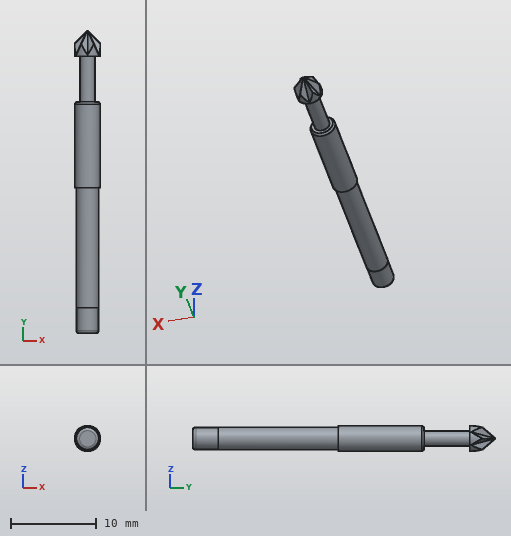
import cadquery as cq
import math

TOTAL_LENGTH = 35.3
HEAD_LENGTH = 3.0
COLLAR_START = 8.3
COLLAR_LENGTH = 10.0
TAIL_CAP_LENGTH = 3.0

HEAD_DIAMETER = 3.0
PLUNGER_DIAMETER = 1.8
COLLAR_DIAMETER = 3.0
BARREL_DIAMETER = 2.65
TAIL_CAP_DIAMETER = 2.6

COLLAR_CHAMFER_LENGTH = 0.3
COLLAR_CHAMFER_DEPTH = 0.2
TAIL_FILLET = 0.35

RIDGE_COUNT = 6
RIDGE_RUNOUT = 1.5
VALLEY_RUNOUT = 2.8

TIP_Y = TOTAL_LENGTH / 2
HEAD_BASE_Y = TIP_Y - HEAD_LENGTH
COLLAR_FRONT_Y = TIP_Y - COLLAR_START
COLLAR_BACK_Y = COLLAR_FRONT_Y - COLLAR_LENGTH
TAIL_END_Y = TIP_Y - TOTAL_LENGTH
TAIL_CAP_Y = TAIL_END_Y + TAIL_CAP_LENGTH


def rod(diameter, front_y, back_y):
    """Cylinder on the Y axis between two stations."""
    return cq.Workplane("XZ", origin=(0, front_y, 0)).circle(diameter / 2).extrude(front_y - back_y)


def star_pyramid():
    """Fluted pyramid with its apex at the tip and its star base at the head base."""
    apex = cq.Vector(0, TIP_Y, 0)
    ridge_radius = HEAD_DIAMETER / 2 * HEAD_LENGTH / RIDGE_RUNOUT
    valley_radius = HEAD_DIAMETER / 2 * HEAD_LENGTH / VALLEY_RUNOUT
    base = []
    for i in range(2 * RIDGE_COUNT):
        angle = math.pi * i / RIDGE_COUNT
        radius = ridge_radius if i % 2 == 0 else valley_radius
        base.append(cq.Vector(radius * math.cos(angle), HEAD_BASE_Y, radius * math.sin(angle)))

    faces = [cq.Face.makeFromWires(cq.Wire.makePolygon(base, close=True))]
    for i, corner in enumerate(base):
        side = cq.Wire.makePolygon([apex, base[i - 1], corner], close=True)
        faces.append(cq.Face.makeFromWires(side))
    return cq.Workplane(obj=cq.Solid.makeSolid(cq.Shell.makeShell(faces)))


def plunger():
    """Star-pointed head on its round stem."""
    head = rod(HEAD_DIAMETER, TIP_Y, HEAD_BASE_Y).intersect(star_pyramid())
    stem = rod(PLUNGER_DIAMETER, HEAD_BASE_Y, COLLAR_FRONT_Y)
    return head.union(stem)


def collar():
    """Thick front section of the barrel with a long chamfer around its front edge."""
    body = rod(COLLAR_DIAMETER, COLLAR_FRONT_Y, COLLAR_BACK_Y)
    return body.faces(">Y").edges().chamfer(COLLAR_CHAMFER_LENGTH, COLLAR_CHAMFER_DEPTH)


def tail():
    """Thin rear section of the barrel and its slightly slimmer, round-edged end cap."""
    barrel = rod(BARREL_DIAMETER, COLLAR_BACK_Y, TAIL_CAP_Y)
    cap = rod(TAIL_CAP_DIAMETER, TAIL_CAP_Y, TAIL_END_Y)
    rounded_cap = cap.faces("<Y").edges().fillet(TAIL_FILLET)
    return barrel.union(rounded_cap)


result = plunger().union(collar()).union(tail())